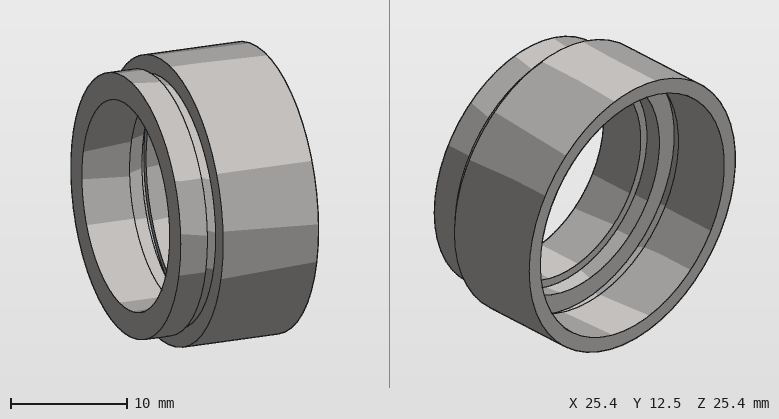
import cadquery as cq

body_diameter = 25.4
flange_diameter = 23.2
groove_diameter = 22.2
front_bore_diameter = 18.5
middle_bore_diameter = 20.0
rear_bore_diameter = 22.65
relief_diameter = rear_bore_diameter + flange_diameter - groove_diameter

total_length = 12.5
flange_length = 2.51
groove_width = 1.0
front_bore_end = 4.5
middle_bore_end = 6.0
body_length = total_length - flange_length - groove_width


def cylinder(diameter, start, length):
    """Solid cylinder along +Y, beginning at Y = start."""
    return cq.Workplane("XZ", origin=(0, start, 0)).circle(diameter / 2).extrude(-length)


flange = cylinder(flange_diameter, 0, flange_length)
groove_floor = cylinder(groove_diameter, flange_length, groove_width)
body = cylinder(body_diameter, flange_length + groove_width, body_length)
front_bore = cylinder(front_bore_diameter, 0, front_bore_end)
middle_bore = cylinder(middle_bore_diameter, front_bore_end, middle_bore_end - front_bore_end)
rear_bore = cylinder(rear_bore_diameter, middle_bore_end, total_length - middle_bore_end)

relief = cylinder(relief_diameter, middle_bore_end, groove_width)

outside = flange.union(groove_floor).union(body)
result = outside.cut(front_bore).cut(middle_bore).cut(rear_bore).cut(relief)